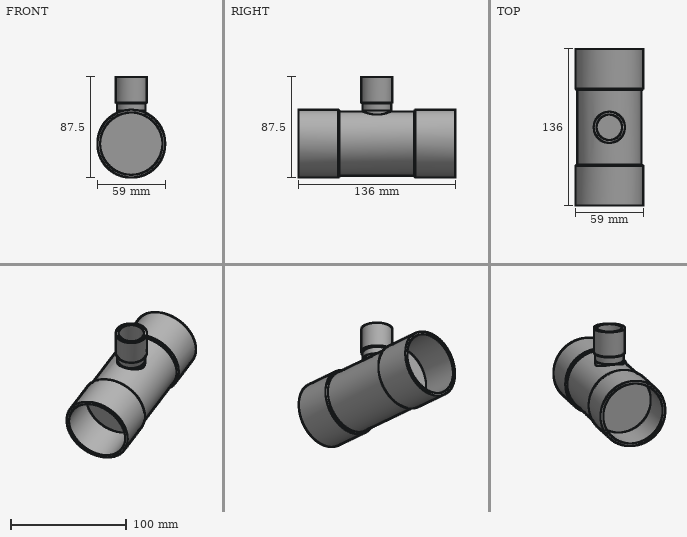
import cadquery as cq

main_length = 136.0
main_diameter = 56.0
socket_diameter = 59.0
socket_bore = 54.0
socket_length = 34.3
socket_bore_depth = socket_length

branch_top = 58.0
branch_diameter = 27.0
branch_bore = 22.0
branch_socket_length = 22.0
branch_bore_depth = branch_socket_length
neck_diameter = 25.0
neck_bottom = 28.7
base_diameter = 24.5


def end_workplane(side):
    """Workplane on one end of the main pipe, facing inwards; side is -1 or 1 along Y."""
    end_centre = (0, side * main_length / 2, 0)
    return cq.Workplane(cq.Plane(origin=end_centre, xDir=(1, 0, 0), normal=(0, -side, 0)))


def end_socket(side):
    """Thick end of the main pipe with a 45 degree taper at its inner edge."""
    taper = (socket_diameter - main_diameter) / 2
    return (
        end_workplane(side)
        .circle(socket_diameter / 2)
        .extrude(socket_length + taper)
        .faces(">Y" if side < 0 else "<Y")
        .chamfer(taper)
    )


def end_bore(side):
    """Blind bore entering one end of the main pipe."""
    return end_workplane(side).circle(socket_bore / 2).extrude(socket_bore_depth)


def branch():
    """Revolved branch: base, neck, 45 degree taper and socket, starting on the main axis."""
    socket_bottom = branch_top - branch_socket_length
    taper = (branch_diameter - neck_diameter) / 2
    return (
        cq.Workplane("XZ")
        .polyline([
            (0, 0),
            (base_diameter / 2, 0),
            (base_diameter / 2, neck_bottom),
            (neck_diameter / 2, neck_bottom),
            (neck_diameter / 2, socket_bottom - taper),
            (branch_diameter / 2, socket_bottom),
            (branch_diameter / 2, branch_top),
            (0, branch_top),
        ])
        .close()
        .revolve(360, (0, 0), (0, 1))
    )


def branch_hole():
    """Blind bore entering the top of the branch."""
    return (
        cq.Workplane("XY", origin=(0, 0, branch_top - branch_bore_depth))
        .circle(branch_bore / 2)
        .extrude(branch_bore_depth)
    )


main_pipe = cq.Workplane("XZ").circle(main_diameter / 2).extrude(main_length / 2, both=True)
result = main_pipe.union(branch())
for side in (-1, 1):
    result = result.union(end_socket(side)).cut(end_bore(side))
result = result.cut(branch_hole())